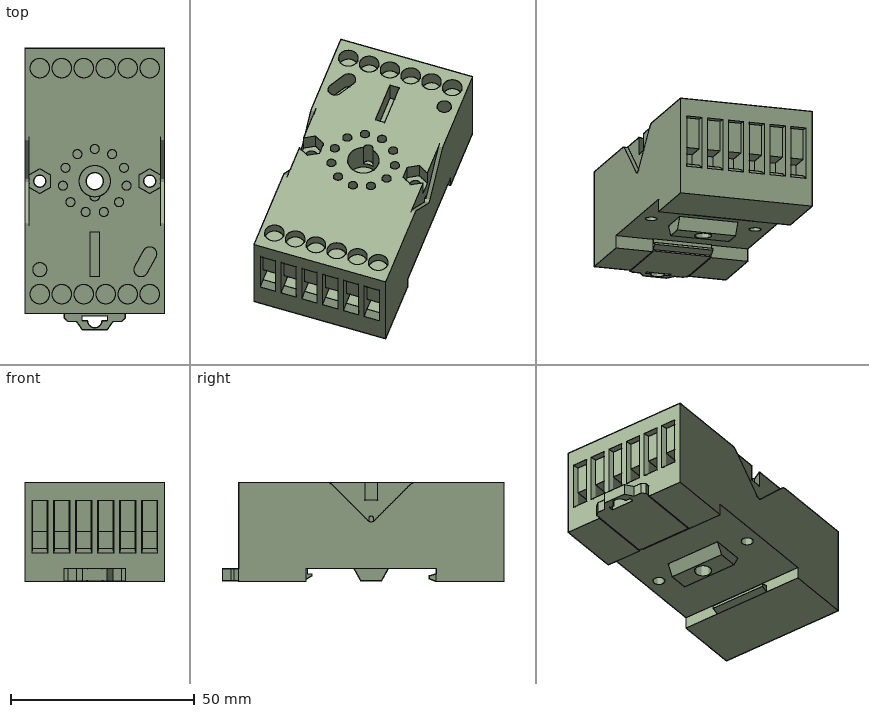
import cadquery as cq
import math

overall_length = 76.7
width = 38.0
length = 72.25
height = 27.0
back_y = 36.2
front_y = back_y - length

terminal_count = 6
terminal_pitch = 6.0
terminal_row_y = 30.75
terminal_xs = [(i - (terminal_count - 1) / 2) * terminal_pitch for i in range(terminal_count)]
well_diameter = 5.3
front_well_depth = 4.2
back_well_depth = 2.8

slot_top_z = 22.1
slot_mouth_width = 4.4
slot_mouth_bottom_z = 7.75
slot_throat_width = 3.9
slot_throat_bottom_z = 9.0
slot_funnel_depth = 1.8
slot_channel_top_z = 13.65
slot_channel_end = 7.7

pin_count = 11
pin_circle_radius = 8.75
pin_diameter = 2.45
pin_depth = 7.7
guide_diameter = 8.5
guide_depth = 9.2
key_radius = 1.4
key_offset = 4.0
key_depth = 7.7
center_hole_diameter = 4.6

mount_x = terminal_xs[-1]
mount_hole_diameter = 3.2
nut_across_corners = 6.75
nut_depth = 4.8

recess_depth = 6.1
key_slot_width = 2.7
key_slot_back_y = -13.8
key_slot_front_y = -26.0
round_recess_y = -24.1
recess_radius = 1.9
oblong_end_x = 12.6
oblong_back_y = -19.8

notch_depth = 1.15
notch_half_width = 12.05
notch_rim_radius = 2.0
notch_bottom_radius = 1.15
arch_radius = 0.6
arch_top_z = 17.9

rail_half_width = 17.7
rail_depth = 3.5
tooth_reach = 1.9
tooth_root_top_z = 2.15
tooth_tip_top_z = 1.6
tooth_tip_bottom_z = 0.8
rib_bottom_z = 0.2
rib_root_half_width = 4.7
rib_tip_half_width = 2.8

clip_half_width = 8.35
clip_bottom_z = 0.2
clip_nose_reach = 0.45
hook_reach = 1.7
hook_top_z = 2.15
hook_tip_bottom_z = 1.6
hook_slope_end_z = 0.6
shoulder_side_length = 1.2
shoulder_length = 2.15
shoulder_half_width = 7.3
grip_root_half_width = 5.0
grip_tip_half_width = 3.4
grip_length = overall_length - length
window_half_width = 3.45
window_start = 0.7
window_end = 1.9
window_round_radius = 1.9


def block(x_min, x_max, y_min, y_max, z_min, z_max):
    """Axis-aligned box between the given limits."""
    size = (x_max - x_min, y_max - y_min, z_max - z_min)
    return cq.Workplane("XY").box(*size, centered=False).translate((x_min, y_min, z_min))


def top_plane():
    return cq.Workplane("XY", origin=(0, 0, height))


def prism_across(points, half_width):
    """Prism along X, centred on X = 0, from an outline of (y, z) points."""
    return cq.Workplane("YZ").polyline(points).close().extrude(half_width, both=True)


def screw_wells(row_y, depth):
    centers = [(x, row_y) for x in terminal_xs]
    return top_plane().pushPoints(centers).circle(well_diameter / 2).extrude(-depth)


def wire_slot(x):
    """Funnel in the front face, narrowing on three sides, with a low channel behind it."""
    mouth_height = slot_top_z - slot_mouth_bottom_z
    throat_height = slot_top_z - slot_throat_bottom_z
    throat_rise = (mouth_height - throat_height) / 2
    mouth_mid_z = (slot_top_z + slot_mouth_bottom_z) / 2
    funnel = (
        cq.Workplane("XZ", origin=(x, front_y, mouth_mid_z))
        .rect(slot_mouth_width, mouth_height)
        .workplane(offset=-slot_funnel_depth)
        .center(0, throat_rise)
        .rect(slot_throat_width, throat_height)
        .loft(combine=True)
    )
    channel = block(
        x - slot_throat_width / 2,
        x + slot_throat_width / 2,
        front_y + slot_funnel_depth,
        front_y + slot_channel_end,
        slot_throat_bottom_z,
        slot_channel_top_z,
    )
    return funnel.union(channel)


def pin_holes():
    return (
        top_plane()
        .polarArray(pin_circle_radius, 90, 360, pin_count)
        .circle(pin_diameter / 2)
        .extrude(-pin_depth)
    )


def guide_hole():
    bore = top_plane().circle(guide_diameter / 2).extrude(-guide_depth)
    key = top_plane().center(0, -key_offset).circle(key_radius).extrude(-key_depth)
    through = top_plane().circle(center_hole_diameter / 2).extrude(-height)
    return bore.union(key).union(through)


def mounting_holes():
    centers = [(-mount_x, 0), (mount_x, 0)]
    bores = top_plane().pushPoints(centers).circle(mount_hole_diameter / 2).extrude(-height)
    turned = cq.Workplane(cq.Plane((0, 0, height), xDir=(0, 1, 0), normal=(0, 0, 1)))
    nuts = turned.pushPoints([(0, -mount_x), (0, mount_x)]).polygon(6, nut_across_corners)
    return bores.union(nuts.extrude(-nut_depth))


def top_recesses():
    """Straight slot, round recess and slanted oblong recess near the front of the top."""
    floor_z = height - recess_depth
    half_slot = key_slot_width / 2
    straight = block(-half_slot, half_slot, key_slot_front_y, key_slot_back_y, floor_z, height)
    round_recess = top_plane().center(-mount_x, round_recess_y).circle(recess_radius).extrude(-recess_depth)
    run_x = mount_x - oblong_end_x
    run_y = oblong_back_y - round_recess_y
    oblong_length = math.hypot(run_x, run_y) + 2 * recess_radius
    oblong_angle = math.degrees(math.atan2(run_y, run_x))
    oblong = (
        top_plane()
        .center(oblong_end_x + run_x / 2, round_recess_y + run_y / 2)
        .slot2D(oblong_length, 2 * recess_radius, oblong_angle)
        .extrude(-recess_depth)
    )
    return straight.union(round_recess).union(oblong)


def side_wedge(depth):
    """45-degree V sunk into the -X side, with rounded rims and a rounded bottom."""
    sine = math.sin(math.radians(45))
    drop = 1 - sine
    slope_top_y = notch_half_width - notch_rim_radius * sine
    slope_top_z = height - notch_rim_radius * drop
    slope_bottom_y = notch_bottom_radius * sine
    slope_bottom_z = slope_top_z - (slope_top_y - slope_bottom_y)
    return (
        cq.Workplane("YZ", origin=(-width / 2, 0, 0))
        .moveTo(notch_half_width, height)
        .radiusArc((slope_top_y, slope_top_z), -notch_rim_radius)
        .lineTo(slope_bottom_y, slope_bottom_z)
        .radiusArc((-slope_bottom_y, slope_bottom_z), notch_bottom_radius)
        .lineTo(-slope_top_y, slope_top_z)
        .radiusArc((-notch_half_width, height), -notch_rim_radius)
        .close()
        .extrude(depth)
    )


def side_notch():
    """Finger recess in the -X side, with a small arched tunnel from its bottom to the mounting hole."""
    tunnel_length = width / 2 - mount_x
    arch = (
        cq.Workplane("YZ", origin=(-width / 2, 0, 0))
        .moveTo(-arch_radius, 0)
        .lineTo(-arch_radius, arch_top_z - arch_radius)
        .threePointArc((0, arch_top_z), (arch_radius, arch_top_z - arch_radius))
        .lineTo(arch_radius, 0)
        .close()
        .extrude(tunnel_length)
    )
    tunnel = arch.intersect(side_wedge(tunnel_length))
    return side_wedge(notch_depth).union(tunnel)


def rail_tooth():
    tip_y = rail_half_width - tooth_reach
    return prism_across(
        [
            (rail_half_width, tooth_root_top_z),
            (tip_y, tooth_tip_top_z),
            (tip_y, tooth_tip_bottom_z),
            (rail_half_width, 0),
        ],
        clip_half_width,
    )


def rail_rib():
    return prism_across(
        [
            (-rib_root_half_width, rail_depth),
            (rib_root_half_width, rail_depth),
            (rib_tip_half_width, rib_bottom_z),
            (-rib_tip_half_width, rib_bottom_z),
        ],
        clip_half_width,
    )


def make_housing():
    half = width / 2
    housing = block(-half, half, front_y, back_y, 0, height)
    housing = housing.cut(block(-half, half, -rail_half_width, rail_half_width, 0, rail_depth))
    housing = housing.union(rail_tooth()).union(rail_rib())
    housing = housing.cut(
        block(-clip_half_width, clip_half_width, front_y, -rail_half_width, 0, rail_depth)
    )
    housing = housing.cut(screw_wells(-terminal_row_y, front_well_depth))
    housing = housing.cut(screw_wells(terminal_row_y, back_well_depth))
    for x in terminal_xs:
        front_slot = wire_slot(x)
        back_slot = front_slot.mirror("XZ", (0, (front_y + back_y) / 2, 0))
        housing = housing.cut(front_slot).cut(back_slot)
    housing = housing.cut(pin_holes()).cut(guide_hole()).cut(mounting_holes()).cut(top_recesses())
    notch = side_notch()
    return housing.cut(notch).cut(notch.mirror("YZ"))


def make_clip():
    """Slider whose hook bites into the rail channel and whose pierced grip sticks out in front."""
    nose_y = clip_nose_reach - rail_half_width
    hook_y = hook_reach - rail_half_width
    slider = prism_across(
        [
            (front_y, clip_bottom_z),
            (front_y, rail_depth),
            (nose_y, rail_depth),
            (nose_y, hook_top_z),
            (hook_y, hook_top_z),
            (hook_y, hook_tip_bottom_z),
            (-rail_half_width, hook_slope_end_z),
            (-rail_half_width, clip_bottom_z),
        ],
        clip_half_width,
    )
    clip_height = rail_depth - clip_bottom_z
    clip_plane = cq.Workplane("XY", origin=(0, front_y, clip_bottom_z))
    right_edge = [
        (clip_half_width, 0),
        (clip_half_width, -shoulder_side_length),
        (shoulder_half_width, -shoulder_length),
        (grip_root_half_width, -shoulder_length),
        (grip_tip_half_width, -grip_length),
    ]
    left_edge = [(-x, y) for x, y in reversed(right_edge)]
    grip = clip_plane.polyline(right_edge + left_edge).close().extrude(clip_height)
    window = (
        clip_plane.moveTo(-window_half_width, -window_start)
        .lineTo(window_half_width, -window_start)
        .lineTo(window_half_width, -window_end)
        .lineTo(window_round_radius, -window_end)
        .threePointArc((0, -window_end - window_round_radius), (-window_round_radius, -window_end))
        .lineTo(-window_half_width, -window_end)
        .close()
        .extrude(clip_height)
    )
    return slider.union(grip.cut(window))


housing = make_housing()
clip = make_clip()
result = cq.Compound.makeCompound([housing.val(), clip.val()])